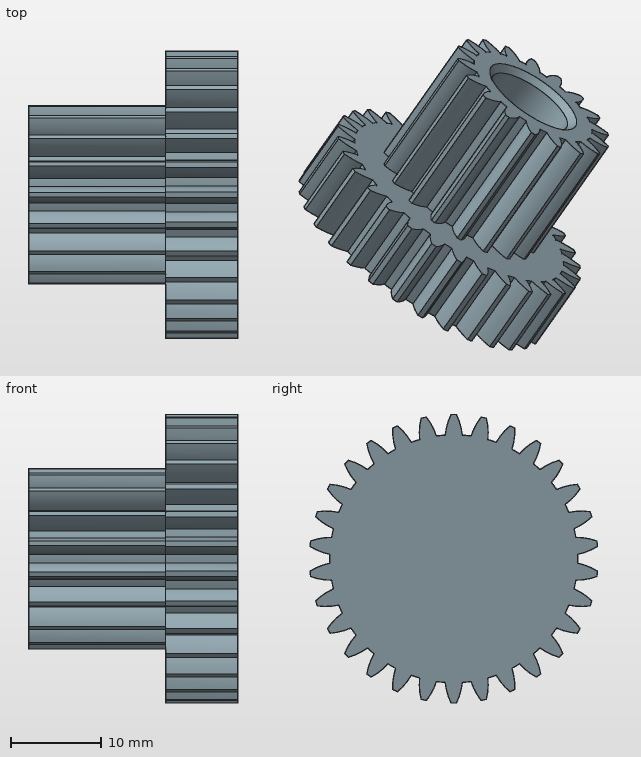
import cadquery as cq
import math

large_tip_diameter = 32.0
large_teeth = 30
large_width = 8.0
large_tip_half_thickness = 0.305
large_root_half_thickness = 0.95

small_teeth = 18
small_width = 15.2
small_tip_half_thickness = 0.25
small_root_half_thickness = 0.9

tooth_module = large_tip_diameter / (large_teeth + 2)
addendum = tooth_module
dedendum = 1.25 * tooth_module
pitch_half_thickness = 0.7

bore_radius = 5.0
bore_depth = small_width
bore_chamfer = 0.75


def polar(radius, angle):
    """Point (Y, Z) at an angle measured from +Z towards +Y."""
    return (radius * math.sin(angle), radius * math.cos(angle))


def spur_gear(teeth, start_x, width, tip_half_thickness, root_half_thickness):
    """Spur gear with one tooth pointing to +Z, extruded along +X.

    Each flank is one arc through the root, pitch and tip circles.
    Half thicknesses are arc lengths along those circles.
    """
    pitch_radius = teeth * tooth_module / 2
    tip_radius = pitch_radius + addendum
    root_radius = pitch_radius - dedendum
    tip_angle = tip_half_thickness / tip_radius
    pitch_angle = pitch_half_thickness / pitch_radius
    root_angle = root_half_thickness / root_radius
    tooth_spacing = 2 * math.pi / teeth

    outline = cq.Workplane("YZ", origin=(start_x, 0, 0)).moveTo(*polar(root_radius, -root_angle))
    for tooth in range(teeth):
        center = tooth * tooth_spacing
        gap_center = center + tooth_spacing / 2
        next_center = center + tooth_spacing
        outline = (
            outline
            .threePointArc(polar(pitch_radius, center - pitch_angle), polar(tip_radius, center - tip_angle))
            .threePointArc(polar(tip_radius, center), polar(tip_radius, center + tip_angle))
            .threePointArc(polar(pitch_radius, center + pitch_angle), polar(root_radius, center + root_angle))
            .threePointArc(polar(root_radius, gap_center), polar(root_radius, next_center - root_angle))
        )
    return outline.close().extrude(width)


def chamfered_bore():
    """Cutter for the blind bore and the chamfer at its mouth, revolved about the X axis."""
    return (
        cq.Workplane("XY")
        .polyline([
            (0, 0),
            (0, bore_radius + bore_chamfer),
            (bore_chamfer, bore_radius),
            (bore_depth, bore_radius),
            (bore_depth, 0),
        ])
        .close()
        .revolve(360, (0, 0, 0), (1, 0, 0))
    )


small_gear = spur_gear(
    small_teeth, 0, small_width, small_tip_half_thickness, small_root_half_thickness
)
large_gear = spur_gear(
    large_teeth, small_width, large_width, large_tip_half_thickness, large_root_half_thickness
)
result = small_gear.union(large_gear).cut(chamfered_bore())